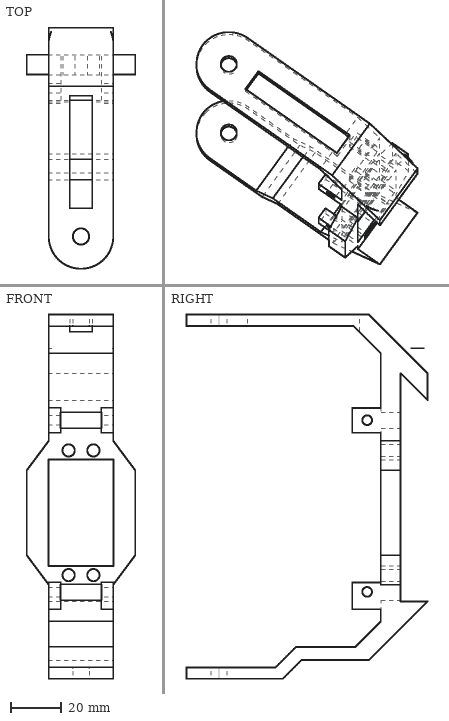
import cadquery as cq
import math


HEIGHT = 144.5
WIDTH = 25.7
TIP_RADIUS = WIDTH / 2
BACK_Y = 82.8
PIVOT_DIAMETER = 6.4

PLATE_FRONT_Y = 64.2
PLATE_THICKNESS = 8.0
PLATE_BACK_Y = PLATE_FRONT_Y + PLATE_THICKNESS
FRAME_WIDTH = 43.2
FRAME_CENTER_Z = 65.9
FRAME_HEIGHT = 57.0
FRAME_SIDE_HEIGHT = 33.5
WINDOW_HEIGHT = 42.0
SCREW_DIAMETER = 4.8
SCREW_SPACING_X = 9.8
SCREW_SPACING_Z = 49.4

TIP_THICKNESS = 4.6
SLOPE_RUN = 23.3
BEND_Y = BACK_Y - SLOPE_RUN
INNER_BEND_Y = 54.0
UPPER_SLOPE_DEPTH = 10.7
STEP_HEIGHT = 7.5
STEP_THICKNESS = 5.2
STEP_OUTER_Y = 32.8
STEP_INNER_Y = 30.6
STEP_INNER_DROP = STEP_HEIGHT + STEP_THICKNESS - TIP_THICKNESS
ARM_SLOT_WIDTH = 8.8
ARM_SLOT_FRONT_Y = 11.3
ARM_SLOT_BACK_Y = 55.8

LUG_THICKNESS = 4.8
LUG_FRONT_Y = 52.9
LUG_HOLE_DIAMETER = 3.8
LUG_HOLE_Y = 58.8
LUG_WINDOW_HEIGHT = 6.2
UPPER_LUG = {"bottom": 97.5, "top": 107.5, "hole": 102.6, "window": 102.6}
LOWER_LUG = {"bottom": 27.6, "top": 38.3, "hole": 34.5, "window": 34.4}

SLIVER_OUTER_RADIUS = 12.9
SLIVER_THICKNESS = 0.06
SLIVER_HEIGHT = 0.12
SLIVER_CENTER_Y = 76.2
SLIVER_BOTTOM_Z = 131.0
SLIVER_START_ANGLE = 1.0
SLIVER_END_ANGLE = 23.0


def box(width, y_front, y_back, z_bottom, z_top):
    """Box centred on X = 0 and placed by its limits in Y and Z."""
    return (
        cq.Workplane("XY")
        .box(width, y_back - y_front, z_top - z_bottom, centered=(True, False, False))
        .translate((0, y_front, z_bottom))
    )


def side_profile(points):
    """Extrude a (Y, Z) outline across the width of the bracket."""
    return cq.Workplane("YZ").polyline(points).close().extrude(WIDTH / 2, both=True)


def make_upper_arm():
    slope_back_top = HEIGHT - SLOPE_RUN
    slope_back_bottom = slope_back_top - UPPER_SLOPE_DEPTH
    underside = HEIGHT - TIP_THICKNESS
    inner_bend_y = BACK_Y - (underside - slope_back_bottom)
    arm = side_profile([
        (-TIP_RADIUS, HEIGHT),
        (BEND_Y, HEIGHT),
        (BACK_Y, slope_back_top),
        (BACK_Y, slope_back_bottom),
        (inner_bend_y, underside),
        (-TIP_RADIUS, underside),
    ])
    slot = box(ARM_SLOT_WIDTH, ARM_SLOT_FRONT_Y, ARM_SLOT_BACK_Y, HEIGHT / 2, HEIGHT)
    return arm.cut(slot)


def make_lower_arm():
    wedge_top = STEP_HEIGHT + SLOPE_RUN
    step_top = STEP_HEIGHT + STEP_THICKNESS
    return side_profile([
        (-TIP_RADIUS, 0),
        (STEP_OUTER_Y - STEP_HEIGHT, 0),
        (STEP_OUTER_Y, STEP_HEIGHT),
        (BEND_Y, STEP_HEIGHT),
        (BACK_Y, wedge_top),
        (PLATE_FRONT_Y, wedge_top),
        (PLATE_FRONT_Y, step_top + PLATE_FRONT_Y - INNER_BEND_Y),
        (INNER_BEND_Y, step_top),
        (STEP_INNER_Y, step_top),
        (STEP_INNER_Y - STEP_INNER_DROP, TIP_THICKNESS),
        (-TIP_RADIUS, TIP_THICKNESS),
    ])


def make_upright():
    """Plate between the two slopes, widened to an octagon around its window."""
    bottom_front = STEP_HEIGHT + PLATE_FRONT_Y - BEND_Y
    top_front = HEIGHT - (PLATE_FRONT_Y - BEND_Y)
    plate = side_profile([
        (PLATE_FRONT_Y, bottom_front),
        (PLATE_BACK_Y, bottom_front + PLATE_THICKNESS),
        (PLATE_BACK_Y, top_front - PLATE_THICKNESS),
        (PLATE_FRONT_Y, top_front),
    ])
    half_side = FRAME_SIDE_HEIGHT / 2
    half_height = FRAME_HEIGHT / 2
    octagon = (
        cq.Workplane("XZ", origin=(0, PLATE_BACK_Y, FRAME_CENTER_Z))
        .polyline([
            (-FRAME_WIDTH / 2, -half_side),
            (-WIDTH / 2, -half_height),
            (WIDTH / 2, -half_height),
            (FRAME_WIDTH / 2, -half_side),
            (FRAME_WIDTH / 2, half_side),
            (WIDTH / 2, half_height),
            (-WIDTH / 2, half_height),
            (-FRAME_WIDTH / 2, half_side),
        ])
        .close()
        .extrude(PLATE_THICKNESS)
    )
    window = box(
        WIDTH, PLATE_FRONT_Y, PLATE_BACK_Y,
        FRAME_CENTER_Z - WINDOW_HEIGHT / 2, FRAME_CENTER_Z + WINDOW_HEIGHT / 2,
    )
    screw_holes = (
        cq.Workplane("XZ", origin=(0, PLATE_BACK_Y, FRAME_CENTER_Z))
        .rarray(SCREW_SPACING_X, SCREW_SPACING_Z, 2, 2)
        .circle(SCREW_DIAMETER / 2)
        .extrude(PLATE_THICKNESS)
    )
    return plate.union(octagon).cut(window).cut(screw_holes)


def make_lug_pair(lug):
    """Two drilled lugs, flush with the sides of the bracket."""
    block = box(WIDTH, LUG_FRONT_Y, PLATE_FRONT_Y, lug["bottom"], lug["top"])
    gap = box(WIDTH - 2 * LUG_THICKNESS, LUG_FRONT_Y, PLATE_FRONT_Y, lug["bottom"], lug["top"])
    hole = (
        cq.Workplane("YZ", origin=(0, LUG_HOLE_Y, lug["hole"]))
        .circle(LUG_HOLE_DIAMETER / 2)
        .extrude(WIDTH / 2, both=True)
    )
    return block.cut(gap).cut(hole)


def make_lug_window(lug):
    """Cutter for the opening through the plate between a pair of lugs."""
    half_height = LUG_WINDOW_HEIGHT / 2
    return box(
        WIDTH - 2 * LUG_THICKNESS, PLATE_FRONT_Y, BACK_Y,
        lug["window"] - half_height, lug["window"] + half_height,
    )


def make_tip_rounding():
    """Full-height envelope that gives both arms their round tips."""
    disc = cq.Workplane("XY").circle(TIP_RADIUS).extrude(HEIGHT)
    return disc.union(box(FRAME_WIDTH, 0, BACK_Y, 0, HEIGHT))


def make_bracket():
    bracket = make_upright().union(make_upper_arm()).union(make_lower_arm())
    for lug in (UPPER_LUG, LOWER_LUG):
        bracket = bracket.union(make_lug_pair(lug)).cut(make_lug_window(lug))
    pivot_holes = cq.Workplane("XY").circle(PIVOT_DIAMETER / 2).extrude(HEIGHT)
    return bracket.intersect(make_tip_rounding()).cut(pivot_holes)


def make_sliver(side):
    """Thin arc-shaped strip; side is +1 or -1 along X."""
    def on_arc(radius, angle):
        turn = math.radians(angle)
        return side * radius * math.cos(turn), radius * math.sin(turn)

    inner_radius = SLIVER_OUTER_RADIUS - SLIVER_THICKNESS
    middle_angle = (SLIVER_START_ANGLE + SLIVER_END_ANGLE) / 2
    return (
        cq.Workplane("XY", origin=(0, SLIVER_CENTER_Y, SLIVER_BOTTOM_Z))
        .moveTo(*on_arc(SLIVER_OUTER_RADIUS, SLIVER_START_ANGLE))
        .threePointArc(
            on_arc(SLIVER_OUTER_RADIUS, middle_angle),
            on_arc(SLIVER_OUTER_RADIUS, SLIVER_END_ANGLE),
        )
        .lineTo(*on_arc(inner_radius, SLIVER_END_ANGLE))
        .threePointArc(
            on_arc(inner_radius, middle_angle),
            on_arc(inner_radius, SLIVER_START_ANGLE),
        )
        .close()
        .extrude(SLIVER_HEIGHT)
    )


bracket = make_bracket()
slivers = [make_sliver(side) for side in (-1, 1)]

result = cq.Compound.makeCompound([bracket.val(), *[sliver.val() for sliver in slivers]])